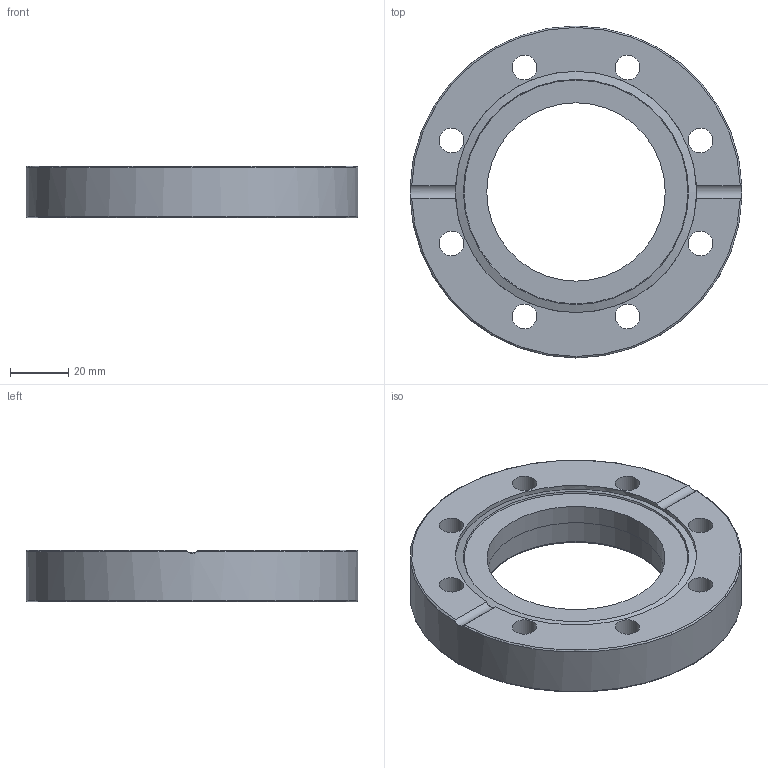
import cadquery as cq
import math

flange_diameter = 113.5
flange_thickness = 17.5
rim_fillet = 0.5

bore_diameter = 61.0
socket_diameter = 63.8
socket_ledge_depth = 8.0
socket_fillet = 0.6

recess_diameter = 82.5
knife_tip_diameter = 77.0
knife_tip_depth = 0.6
knife_slope_angle = 20.0
inner_floor_depth = 1.2

bolt_count = 8
bolt_circle_diameter = 92.1
bolt_hole_diameter = 8.4

groove_width = 4.4
groove_depth = 1.0


def make_body():
    """Revolve the half section of the flange about Z, bottom face at Z = 0."""
    top = flange_thickness
    flange_radius = flange_diameter / 2
    recess_radius = recess_diameter / 2
    knife_tip_radius = knife_tip_diameter / 2
    slope_tangent = math.tan(math.radians(knife_slope_angle))
    slope_drop = (recess_radius - knife_tip_radius) * slope_tangent
    knife_inner_radius = knife_tip_radius - (inner_floor_depth - knife_tip_depth) * slope_tangent
    recess_bottom = top - knife_tip_depth - slope_drop
    inner_floor = top - inner_floor_depth
    ledge = top - socket_ledge_depth
    return (
        cq.Workplane("XZ")
        .moveTo(socket_diameter / 2, socket_fillet)
        .radiusArc((socket_diameter / 2 + socket_fillet, 0), -socket_fillet)
        .lineTo(flange_radius - rim_fillet, 0)
        .radiusArc((flange_radius, rim_fillet), -rim_fillet)
        .lineTo(flange_radius, top - rim_fillet)
        .radiusArc((flange_radius - rim_fillet, top), -rim_fillet)
        .lineTo(recess_radius, top)
        .lineTo(recess_radius, recess_bottom)
        .lineTo(knife_tip_radius, top - knife_tip_depth)
        .lineTo(knife_inner_radius, inner_floor)
        .lineTo(bore_diameter / 2, inner_floor)
        .lineTo(bore_diameter / 2, ledge)
        .lineTo(socket_diameter / 2, ledge)
        .close()
        .revolve(360, (0, 0, 0), (0, 1, 0))
    )


def make_bolt_holes():
    """Through holes spaced evenly, straddling the X and Y axes."""
    return (
        cq.Workplane("XY")
        .polarArray(bolt_circle_diameter / 2, 180 / bolt_count, 360, bolt_count)
        .circle(bolt_hole_diameter / 2)
        .extrude(flange_thickness)
    )


def make_groove(side):
    """Round-bottomed groove from the recess wall out through the rim; side is +1 or -1 along X."""
    groove_radius = ((groove_width / 2) ** 2 + groove_depth**2) / (2 * groove_depth)
    axis_height = flange_thickness - groove_depth + groove_radius
    start = (recess_diameter / 2 + knife_tip_diameter / 2) / 2
    return (
        cq.Workplane("YZ", origin=(side * start, 0, 0))
        .center(0, axis_height)
        .circle(groove_radius)
        .extrude(side * (flange_diameter / 2))
    )


result = make_body().cut(make_bolt_holes())
for side in (1, -1):
    result = result.cut(make_groove(side))